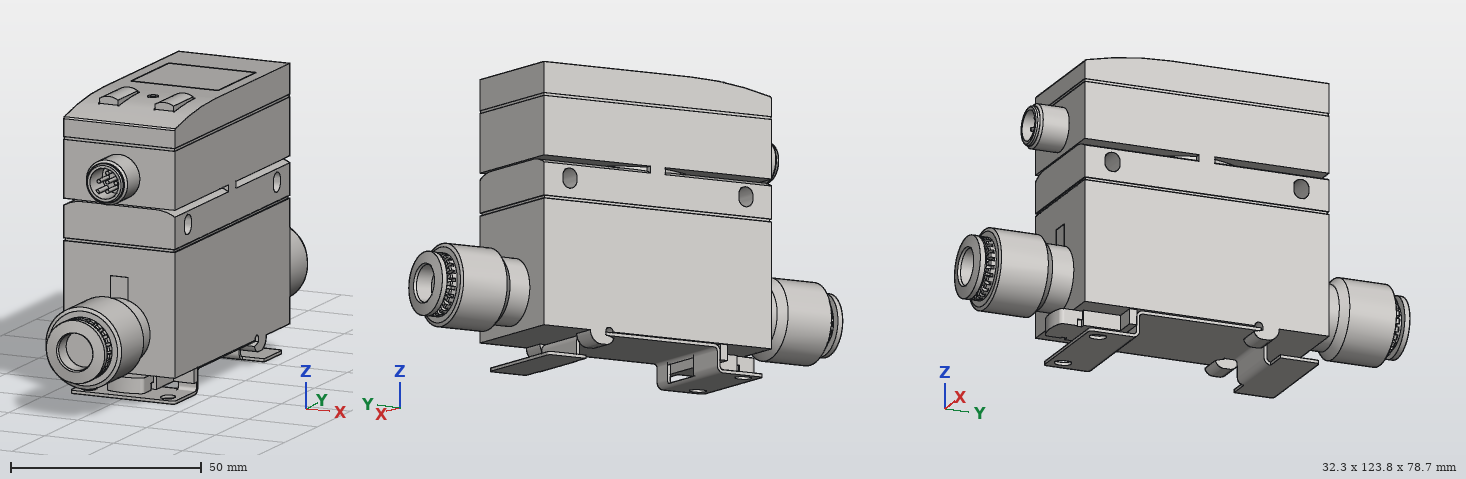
import cadquery as cq
import math

WIDTH = 32.3
LENGTH = 69.8
BASE_Z = 7.5
TOP_Z = 77.6
SLOPE_DROP = 3.1
SLOPE_LENGTH = 24.6
FRONT_EDGE_CHAMFER = 0.4
HALF_WIDTH = WIDTH / 2
FRONT_Y = -LENGTH / 2
BACK_Y = LENGTH / 2
SLOPE_START_Y = FRONT_Y + SLOPE_LENGTH
SLOPE_RADIUS = (SLOPE_LENGTH**2 + SLOPE_DROP**2) / (2 * SLOPE_DROP)

SEAM_HEIGHT = 0.7
LID_SEAM = (68.6, 0.1)
VALVE_SEAM = (41.3, 0.4)

SLOT_TOP_Z = 52.7
SLOT_HEIGHT = 1.9
SLOT_DEPTH = 1.6
SLOT_BRIDGE = 4.6
ARCH_GAP = 0.4
ARCH_RUN = 5.5
CORE_LENGTH = 9.5
CORE_BOW = 0.4

MOUNT_HOLE_WIDTH = 4.3
MOUNT_HOLE_HEIGHT = 5.3
MOUNT_HOLE_Y = 27.0
MOUNT_HOLE_Z = 47.3

WINDOW_WIDTH = 25.3
WINDOW_LENGTH = 22.9
WINDOW_Y = 10.2
SURFACE_STEP = 0.1
BUTTON_WIDTH = 5.3
BUTTON_LENGTH = 12.0
BUTTON_X = 8.0
BUTTON_FRONT_Y = -24.4
BUTTON_TOP_Z = 78.7
BUTTON_CROWN = 0.7
BUTTON_GAP = 0.4
BUTTON_POCKET_DEPTH = 0.5
LAMP_DIAMETER = 2.8
LAMP_LENS_DIAMETER = 1.6
LAMP_Y = -14.4
LAMP_DEPTH = 0.5
LAMP_LENS_HEIGHT = 0.4

CONNECTOR_Z = 60.2
CONNECTOR_DIAMETER = 12.0
CONNECTOR_LENGTH = 9.0
NOSE_DIAMETER = 10.5
NOSE_LENGTH = 1.0
NOSE_CHAMFER = 0.4
SHELL_CHAMFER = 0.6
SOCKET_DIAMETER = 8.3
SOCKET_DEPTH = 7.4
PIN_DIAMETER = 1.0
PIN_LENGTH = 5.6
PIN_CIRCLE_RADIUS = 2.5
KEY_DIAMETER = 1.2

FITTING_Z = 18.6
FITTING_TIP_Y = 61.9
NECK_DIAMETER = 18.0
NECK_END_Y = 41.0
BARREL_DIAMETER = 22.0
BARREL_START_Y = 43.1
BARREL_END_Y = 56.8
BARREL_CHAMFER_LENGTH = 0.4
BARREL_CHAMFER_DEPTH = 1.0
COLLAR_DIAMETER = 16.8
COLLAR_END_Y = 58.7
COLLAR_CHAMFER = 0.4
SLEEVE_DIAMETER = 12.6
RING_DIAMETER = 17.0
RING_START_Y = 59.9
RING_TAPER = 0.5
TUBE_BORE_DIAMETER = 10.0
TUBE_BORE_MOUTH = 10.5
TUBE_BORE_MOUTH_LENGTH = 0.7
TUBE_BORE_DEPTH = 5.3
COLLAR_TEETH = 24
TOOTH_GAP_WIDTH = 0.9
TOOTH_GAP_DEPTH = 1.4

LABEL_WIDTH = 5.1
LABEL_TOP_Z = 33.3

SHEET = 0.9
BEND_RADIUS = 1.0
BRACKET_WIDTH = 30.3
BACK_LEG_Y = 20.4
FRONT_LEG_Y = -19.7
BACK_FLANGE_Y = 32.7
FRONT_FLANGE_Y = -33.0
FLANGE_CORNER_RADIUS = 1.0
FLANGE_HOLE_WIDTH = 3.6
FLANGE_HOLE_LENGTH = 4.6
FLANGE_HOLE_X = 11.4
FLANGE_HOLE_Y = -29.1
NOTCH_LEFT_X = -3.1
NOTCH_RIGHT_X = 9.9
BACK_LEG_WIDTH = 17.6
HOOK_NOTCH_BACK_Y = 21.4

HOOK_WIDTH = 6.9
HOOK_BACK_Y = 20.7
HOOK_HEEL = (19.5, 5.0)
HOOK_BOTTOM_BACK_Y = 18.0
HOOK_BOTTOM_FRONT_Y = 15.6
HOOK_BOTTOM_Z = 4.1
HOOK_TOE = (14.2, 4.7)
HOOK_TIP_Y = 13.5
HOOK_TIP_Z = 6.0
HOOK_MOUTH_Y = 16.0
HOOK_MOUTH_RADIUS = 1.1

SLIDE_WIDTH = 31.0
SLIDE_BOTTOM_Z = 3.3
SLIDE_BAR_THICKNESS = 2.1
TONGUE_LEFT_X = -3.0
TONGUE_RIGHT_X = 9.5
TONGUE_STEP = 0.9
TONGUE_STEP_Y = -32.3
TONGUE_SHOULDER_Y = -38.3
TONGUE_SHOULDER_RADIUS = 1.2
TONGUE_TIP_Y = -39.4
GRIP_LENGTH = 1.4
GRIP_DEPTH = 0.5
GRIP_HEIGHT = 1.9


def box(x0, x1, y0, y1, z0, z1):
    """Axis-aligned block between two opposite corners."""
    return cq.Workplane("XY").box(x1 - x0, y1 - y0, z1 - z0, centered=False).translate((x0, y0, z0))


def across(outline, half_width=HALF_WIDTH):
    """Extrude a Y-Z outline symmetrically across X."""
    return outline.extrude(half_width, both=True)


def slope_z(y):
    """Height of the sloping top at a given Y."""
    fall = SLOPE_START_Y - y
    return TOP_Z - SLOPE_RADIUS + math.sqrt(SLOPE_RADIUS**2 - fall**2)


def make_block():
    middle_y = SLOPE_START_Y - SLOPE_LENGTH / 2
    outline = (
        cq.Workplane("YZ")
        .moveTo(FRONT_Y, BASE_Z)
        .lineTo(BACK_Y, BASE_Z)
        .lineTo(BACK_Y, TOP_Z)
        .lineTo(SLOPE_START_Y, TOP_Z)
        .threePointArc((middle_y, slope_z(middle_y)), (FRONT_Y, TOP_Z - SLOPE_DROP))
        .close()
    )
    block = across(outline)
    front_top_edge = cq.selectors.NearestToPointSelector((0, FRONT_Y, TOP_Z - SLOPE_DROP))
    return block.edges(front_top_edge).chamfer(FRONT_EDGE_CHAMFER)


def make_seam(lower_z, depth):
    """Ring to cut away so that a groove runs around the block."""
    upper_z = lower_z + SEAM_HEIGHT
    outer = box(-HALF_WIDTH, HALF_WIDTH, FRONT_Y, BACK_Y, lower_z, upper_z)
    inner_x = HALF_WIDTH - depth
    inner_y = BACK_Y - depth
    return outer.cut(box(-inner_x, inner_x, -inner_y, inner_y, lower_z, upper_z))


def make_slots():
    """Thin gap under the electronics whose floor curves down to a slot on each flank.

    A core beside the central bridge stays uncut, and its walls bow outwards to the bridge.
    """
    gap_floor_z = SLOT_TOP_Z - ARCH_GAP
    arch_drop = SLOT_HEIGHT - ARCH_GAP
    flat_x = HALF_WIDTH - ARCH_RUN
    arch_radius = (ARCH_RUN**2 + arch_drop**2) / (2 * arch_drop)
    middle_x = HALF_WIDTH - ARCH_RUN / 2
    middle_z = gap_floor_z - arch_radius + math.sqrt(arch_radius**2 - (ARCH_RUN / 2) ** 2)
    edge_z = SLOT_TOP_Z - SLOT_HEIGHT
    bridge_y = -SLOT_BRIDGE / 2
    gap = (
        cq.Workplane("XZ", origin=(0, bridge_y, 0))
        .moveTo(-HALF_WIDTH, SLOT_TOP_Z)
        .lineTo(HALF_WIDTH, SLOT_TOP_Z)
        .lineTo(HALF_WIDTH, edge_z)
        .threePointArc((middle_x, middle_z), (flat_x, gap_floor_z))
        .lineTo(-flat_x, gap_floor_z)
        .threePointArc((-middle_x, middle_z), (-HALF_WIDTH, edge_z))
        .close()
        .extrude(BACK_Y + bridge_y)
    )
    wall_x = HALF_WIDTH - SLOT_DEPTH
    core_y = bridge_y - CORE_LENGTH
    bow_x = (wall_x + flat_x) / 2 + CORE_BOW
    bow_y = (bridge_y + core_y) / 2
    core = (
        cq.Workplane("XY", origin=(0, 0, edge_z))
        .moveTo(-wall_x, bridge_y)
        .lineTo(wall_x, bridge_y)
        .threePointArc((bow_x, bow_y), (flat_x, core_y))
        .lineTo(-flat_x, core_y)
        .threePointArc((-bow_x, bow_y), (-wall_x, bridge_y))
        .close()
        .extrude(SLOT_HEIGHT)
    )
    front_gap = gap.cut(core)
    return front_gap.union(front_gap.mirror("XZ"))


def make_mount_holes():
    centres = [(-MOUNT_HOLE_Y, MOUNT_HOLE_Z), (MOUNT_HOLE_Y, MOUNT_HOLE_Z)]
    holes = cq.Workplane("YZ").pushPoints(centres).slot2D(MOUNT_HOLE_HEIGHT, MOUNT_HOLE_WIDTH, 90)
    return across(holes)


def make_window():
    half_x = WINDOW_WIDTH / 2
    half_y = WINDOW_LENGTH / 2
    return box(-half_x, half_x, WINDOW_Y - half_y, WINDOW_Y + half_y, TOP_Z - SURFACE_STEP, TOP_Z)


def button_floor_z():
    return slope_z(BUTTON_FRONT_Y) - BUTTON_POCKET_DEPTH


def make_button(x):
    """Key with a crowned top, standing on the floor of its pocket."""
    half = BUTTON_WIDTH / 2
    shoulder_z = BUTTON_TOP_Z - BUTTON_CROWN
    return (
        cq.Workplane("XZ", origin=(x, BUTTON_FRONT_Y, 0))
        .moveTo(-half, button_floor_z())
        .lineTo(half, button_floor_z())
        .lineTo(half, shoulder_z)
        .threePointArc((0, BUTTON_TOP_Z), (-half, shoulder_z))
        .close()
        .extrude(-BUTTON_LENGTH)
    )


def make_button_pocket(x):
    half = BUTTON_WIDTH / 2 + BUTTON_GAP
    back_y = BUTTON_FRONT_Y + BUTTON_LENGTH + BUTTON_GAP
    return box(x - half, x + half, BUTTON_FRONT_Y, back_y, button_floor_z(), BUTTON_TOP_Z)


def add_lamp(body):
    floor = cq.Workplane("XY", origin=(0, LAMP_Y, slope_z(LAMP_Y) - LAMP_DEPTH))
    body = body.cut(floor.circle(LAMP_DIAMETER / 2).extrude(2 * LAMP_DEPTH))
    return body.union(floor.circle(LAMP_LENS_DIAMETER / 2).extrude(LAMP_LENS_HEIGHT))


def add_connector(body):
    """Round connector on the front face, with its socket, contact pins and coding rib."""
    face = cq.Workplane("XZ", origin=(0, FRONT_Y, CONNECTOR_Z))
    shell = face.circle(CONNECTOR_DIAMETER / 2).extrude(CONNECTOR_LENGTH - NOSE_LENGTH)
    shell = shell.faces("<Y").chamfer(SHELL_CHAMFER)
    nose = face.circle(NOSE_DIAMETER / 2).extrude(CONNECTOR_LENGTH)
    nose = nose.faces("<Y").chamfer(NOSE_CHAMFER)
    body = body.union(shell).union(nose)

    floor_y = FRONT_Y - CONNECTOR_LENGTH + SOCKET_DEPTH
    floor = cq.Workplane("XZ", origin=(0, floor_y, CONNECTOR_Z))
    body = body.cut(floor.circle(SOCKET_DIAMETER / 2).extrude(SOCKET_DEPTH))
    r = PIN_CIRCLE_RADIUS
    pin_places = [(0, 0), (r, 0), (-r, 0), (0, r), (0, -r)]
    pins = floor.pushPoints(pin_places).circle(PIN_DIAMETER / 2).extrude(PIN_LENGTH)
    key_offset = SOCKET_DIAMETER / 2 * math.sqrt(0.5)
    key = floor.center(-key_offset, -key_offset).circle(KEY_DIAMETER / 2).extrude(PIN_LENGTH)
    return body.union(pins).union(key)


def make_fitting():
    """Push-in fitting at the +Y end, turned about its own axis."""
    neck_r = NECK_DIAMETER / 2
    barrel_r = BARREL_DIAMETER / 2
    collar_r = COLLAR_DIAMETER / 2
    sleeve_r = SLEEVE_DIAMETER / 2
    ring_r = RING_DIAMETER / 2
    bore_r = TUBE_BORE_DIAMETER / 2
    mouth_r = TUBE_BORE_MOUTH / 2
    bore_end_y = FITTING_TIP_Y - TUBE_BORE_DEPTH
    profile = [
        (0, BACK_Y),
        (neck_r, BACK_Y),
        (neck_r, NECK_END_Y),
        (barrel_r, BARREL_START_Y),
        (barrel_r, BARREL_END_Y - BARREL_CHAMFER_LENGTH),
        (barrel_r - BARREL_CHAMFER_DEPTH, BARREL_END_Y),
        (collar_r, BARREL_END_Y),
        (collar_r, COLLAR_END_Y - COLLAR_CHAMFER),
        (collar_r - COLLAR_CHAMFER, COLLAR_END_Y),
        (sleeve_r, COLLAR_END_Y),
        (sleeve_r, RING_START_Y),
        (ring_r, RING_START_Y),
        (ring_r, FITTING_TIP_Y - RING_TAPER),
        (mouth_r, FITTING_TIP_Y),
        (bore_r, FITTING_TIP_Y - TUBE_BORE_MOUTH_LENGTH),
        (bore_r, bore_end_y),
        (0, bore_end_y),
    ]
    fitting = cq.Workplane("XY").polyline(profile).close().revolve(360, (0, 0, 0), (0, 1, 0))
    half_gap = TOOTH_GAP_WIDTH / 2
    gap = box(-half_gap, half_gap, COLLAR_END_Y - TOOTH_GAP_DEPTH, COLLAR_END_Y, sleeve_r, collar_r)
    for i in range(COLLAR_TEETH):
        fitting = fitting.cut(gap.rotate((0, 0, 0), (0, 1, 0), i * 360 / COLLAR_TEETH))
    return fitting.translate((0, 0, FITTING_Z))


def make_label():
    half = LABEL_WIDTH / 2
    return box(-half, half, FRONT_Y, FRONT_Y + SURFACE_STEP, FITTING_Z, LABEL_TOP_Z)


def make_hook(side):
    """Hook hanging flush with one flank, with its tip pointing towards the front."""
    outline = (
        cq.Workplane("YZ")
        .moveTo(HOOK_BACK_Y, BASE_Z)
        .threePointArc(HOOK_HEEL, (HOOK_BOTTOM_BACK_Y, HOOK_BOTTOM_Z))
        .lineTo(HOOK_BOTTOM_FRONT_Y, HOOK_BOTTOM_Z)
        .threePointArc(HOOK_TOE, (HOOK_TIP_Y, HOOK_TIP_Z))
        .lineTo(HOOK_MOUTH_Y, BASE_Z - SHEET)
        .lineTo(HOOK_MOUTH_Y, BASE_Z)
        .close()
    )
    hook = outline.extrude(HOOK_WIDTH)
    start_x = HALF_WIDTH - HOOK_WIDTH if side > 0 else -HALF_WIDTH
    return hook.translate((start_x, 0, 0))


def make_hook_relief():
    """Round relief across the underside, above the mouth of the hooks."""
    centre = (HOOK_MOUTH_Y - HOOK_MOUTH_RADIUS, BASE_Z)
    return across(cq.Workplane("YZ").pushPoints([centre]).circle(HOOK_MOUTH_RADIUS))


def make_housing():
    body = make_block()
    for lower_z, depth in (LID_SEAM, VALVE_SEAM):
        body = body.cut(make_seam(lower_z, depth))
    body = body.cut(make_slots()).cut(make_mount_holes()).cut(make_hook_relief())
    body = body.cut(make_window()).cut(make_label())
    for x in (-BUTTON_X, BUTTON_X):
        body = body.cut(make_button_pocket(x)).union(make_button(x))
    body = add_connector(add_lamp(body))
    fitting = make_fitting()
    body = body.union(fitting).union(fitting.mirror("XZ"))
    for side in (-1, 1):
        body = body.union(make_hook(side))
    return body


def make_bracket():
    """Bent sheet: a raised plate, two legs and two outward flanges."""
    plate_z = BASE_Z - SHEET
    front_inner_y = FRONT_LEG_Y + SHEET
    back_inner_y = BACK_LEG_Y - SHEET
    outline = cq.Workplane("YZ").polyline([
        (FRONT_FLANGE_Y, 0),
        (front_inner_y, 0),
        (front_inner_y, plate_z),
        (back_inner_y, plate_z),
        (back_inner_y, 0),
        (BACK_FLANGE_Y, 0),
        (BACK_FLANGE_Y, SHEET),
        (BACK_LEG_Y, SHEET),
        (BACK_LEG_Y, BASE_Z),
        (FRONT_LEG_Y, BASE_Z),
        (FRONT_LEG_Y, SHEET),
        (FRONT_FLANGE_Y, SHEET),
    ]).close()
    bracket = across(outline, BRACKET_WIDTH / 2)

    inner_bends = [
        (FRONT_LEG_Y, SHEET),
        (front_inner_y, plate_z),
        (back_inner_y, plate_z),
        (BACK_LEG_Y, SHEET),
    ]
    outer_bends = [
        (front_inner_y, 0),
        (FRONT_LEG_Y, BASE_Z),
        (BACK_LEG_Y, BASE_Z),
        (back_inner_y, 0),
    ]
    for corners, radius in ((inner_bends, BEND_RADIUS), (outer_bends, BEND_RADIUS + SHEET)):
        for y, z in corners:
            bend_edge = cq.selectors.NearestToPointSelector((0, y, z))
            bracket = bracket.edges(bend_edge).fillet(radius)

    for flange_end in ("<Y", ">Y"):
        bracket = bracket.faces(flange_end).edges("|Z").fillet(FLANGE_CORNER_RADIUS)

    front_notch = box(NOTCH_LEFT_X, NOTCH_RIGHT_X, FRONT_LEG_Y - BEND_RADIUS, front_inner_y, SHEET, plate_z)
    bracket = bracket.cut(front_notch)

    for outer_x in (-BRACKET_WIDTH / 2, BRACKET_WIDTH / 2):
        x0, x1 = sorted((outer_x, math.copysign(BACK_LEG_WIDTH / 2, outer_x)))
        bracket = bracket.cut(box(x0, x1, HOOK_MOUTH_Y, HOOK_NOTCH_BACK_Y, 0, BASE_Z))

    hole_places = [(-FLANGE_HOLE_X, FLANGE_HOLE_Y), (FLANGE_HOLE_X, FLANGE_HOLE_Y)]
    holes = (
        cq.Workplane("XY")
        .pushPoints(hole_places)
        .slot2D(FLANGE_HOLE_LENGTH, FLANGE_HOLE_WIDTH, 90)
        .extrude(SHEET)
    )
    return bracket.cut(holes)


def make_slide():
    """Cross bar against the front leg, with a tongue that reaches out past the housing."""
    bar_y = FRONT_LEG_Y - SLIDE_BAR_THICKNESS
    half = SLIDE_WIDTH / 2
    bar = box(-half, half, bar_y, FRONT_LEG_Y, SLIDE_BOTTOM_Z, BASE_Z)
    tip_left_x = TONGUE_LEFT_X + TONGUE_STEP
    tip_right_x = TONGUE_RIGHT_X - TONGUE_STEP
    middle_x = (TONGUE_LEFT_X + TONGUE_RIGHT_X) / 2
    tongue = (
        cq.Workplane("XY", origin=(0, 0, SLIDE_BOTTOM_Z))
        .moveTo(TONGUE_LEFT_X, bar_y)
        .lineTo(TONGUE_LEFT_X, TONGUE_STEP_Y)
        .lineTo(tip_left_x, TONGUE_STEP_Y)
        .lineTo(tip_left_x, TONGUE_SHOULDER_Y)
        .threePointArc((middle_x, TONGUE_TIP_Y), (tip_right_x, TONGUE_SHOULDER_Y))
        .lineTo(tip_right_x, TONGUE_STEP_Y)
        .lineTo(TONGUE_RIGHT_X, TONGUE_STEP_Y)
        .lineTo(TONGUE_RIGHT_X, bar_y)
        .close()
        .extrude(BASE_Z - SLIDE_BOTTOM_Z)
    )
    for x in (tip_left_x, tip_right_x):
        shoulder = cq.selectors.NearestToPointSelector((x, TONGUE_SHOULDER_Y, (SLIDE_BOTTOM_Z + BASE_Z) / 2))
        tongue = tongue.edges("|Z").edges(shoulder).fillet(TONGUE_SHOULDER_RADIUS)
    grip_end_y = TONGUE_STEP_Y - GRIP_LENGTH
    grip_top_z = SLIDE_BOTTOM_Z + GRIP_HEIGHT
    for x in (tip_left_x, tip_right_x - GRIP_DEPTH):
        tongue = tongue.cut(box(x, x + GRIP_DEPTH, grip_end_y, TONGUE_STEP_Y, SLIDE_BOTTOM_Z, grip_top_z))
    return bar.union(tongue)


housing = make_housing()
bracket = make_bracket()
slide = make_slide()
result = cq.Compound.makeCompound([housing.val(), bracket.val(), slide.val()])